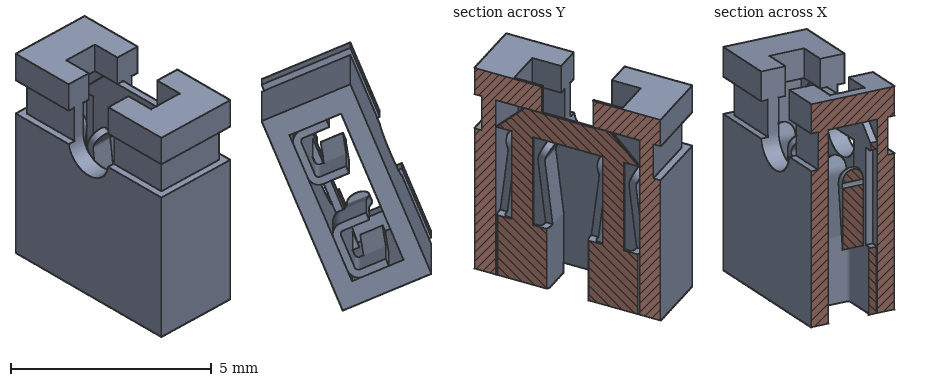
import cadquery as cq
import math

LENGTH = 5.2
DEPTH = 2.4
HEIGHT = 6.0
BODY_TOP = 4.2
FLANGE_BOTTOM = 5.2
NECK_INSET = 0.2
WINDOW_LENGTH = 3.025
WINDOW_DEPTH = 0.995
NOTCH_RADIUS = 0.71
NOTCH_BOTTOM = 3.6

SHEET = 0.2
PIN_SPACING = 2.545
CHANNEL_WIDTH = 1.465
CHANNEL_HEIGHT = 1.8
BEND_RADIUS = 0.1
STRIP_WIDTH = 0.6
BAR_BOTTOM = 4.41
ARM_WIDTH = 0.6
GRIP_GAP = 0.625
GRIP_HEIGHT = 3.66
GRIP_BEND_RADIUS = 0.2
TIP_LENGTH = 0.335
TIP_FLARE = 23.0

CAVITY_LENGTH = PIN_SPACING + CHANNEL_WIDTH
CAVITY_BACK = WINDOW_DEPTH / 2 + SHEET
CAVITY_DEPTH = 2 * CAVITY_BACK


def upright_block(length, depth, bottom, top):
    """Block centred on the Z axis, from height bottom to height top."""
    return cq.Workplane("XY").workplane(offset=bottom).rect(length, depth).extrude(top - bottom)


def housing_notch():
    """Round-bottomed notch through the front and back walls, open at the top."""
    centre_height = NOTCH_BOTTOM + NOTCH_RADIUS
    return (
        cq.Workplane("XZ")
        .moveTo(-NOTCH_RADIUS, HEIGHT)
        .lineTo(-NOTCH_RADIUS, centre_height)
        .threePointArc((0, NOTCH_BOTTOM), (NOTCH_RADIUS, centre_height))
        .lineTo(NOTCH_RADIUS, HEIGHT)
        .close()
        .extrude(DEPTH / 2, both=True)
    )


def make_housing():
    block = upright_block(LENGTH, DEPTH, 0, BODY_TOP)
    neck = upright_block(LENGTH - 2 * NECK_INSET, DEPTH - 2 * NECK_INSET, BODY_TOP, FLANGE_BOTTOM)
    flange = upright_block(LENGTH, DEPTH, FLANGE_BOTTOM, HEIGHT)
    cavity = upright_block(CAVITY_LENGTH, CAVITY_DEPTH, 0, FLANGE_BOTTOM)
    window = upright_block(WINDOW_LENGTH, WINDOW_DEPTH, FLANGE_BOTTOM, HEIGHT)
    return block.union(neck).union(flange).cut(cavity).cut(window).cut(housing_notch())


def contact_bar():
    """Plate across the top of the contact, with 45 degree sloping ends."""
    half_base = CAVITY_LENGTH / 2
    half_top = half_base - (FLANGE_BOTTOM - BAR_BOTTOM)
    return (
        cq.Workplane("XZ", origin=(0, CAVITY_BACK, 0))
        .polyline(
            [
                (-half_base, BAR_BOTTOM),
                (half_base, BAR_BOTTOM),
                (half_top, FLANGE_BOTTOM),
                (-half_top, FLANGE_BOTTOM),
            ]
        )
        .close()
        .extrude(SHEET)
    )


def pin_channel():
    """U-shaped channel, open to -Y, with rounded bends along its back."""
    wall_front = -ARM_WIDTH / 2
    depth = CAVITY_BACK - wall_front
    inner_width = CHANNEL_WIDTH - 2 * SHEET
    inner_depth = depth - SHEET
    outside = (
        cq.Workplane("XY")
        .center(0, wall_front + depth / 2)
        .rect(CHANNEL_WIDTH, depth)
        .extrude(CHANNEL_HEIGHT)
        .edges("|Z and >Y")
        .fillet(BEND_RADIUS + SHEET)
    )
    inside = (
        cq.Workplane("XY")
        .center(0, wall_front + inner_depth / 2)
        .rect(inner_width, inner_depth)
        .extrude(CHANNEL_HEIGHT)
        .edges("|Z and >Y")
        .fillet(BEND_RADIUS)
    )
    return outside.cut(inside)


def plate_strip():
    """Flat strip that hangs from the bar and carries a channel."""
    return (
        cq.Workplane("XY")
        .center(0, CAVITY_BACK - SHEET / 2)
        .rect(STRIP_WIDTH, SHEET)
        .extrude(BAR_BOTTOM)
    )


def arm_outline(grip, flare):
    """Round-ended outline of an arm, swept square to the sheet of its flared tip."""
    half_width = ARM_WIDTH / 2
    round_start = TIP_LENGTH - half_width
    tip_plane = cq.Plane(
        origin=(grip, 0, GRIP_HEIGHT),
        xDir=(0, 1, 0),
        normal=(math.cos(flare), 0, math.sin(flare)),
    )
    return (
        cq.Workplane(tip_plane)
        .moveTo(-half_width, -GRIP_HEIGHT)
        .lineTo(-half_width, round_start)
        .threePointArc((0, TIP_LENGTH), (half_width, round_start))
        .lineTo(half_width, -GRIP_HEIGHT)
        .close()
        .extrude(CHANNEL_WIDTH, both=True)
    )


def spring_arm():
    """Arm on the -X wall of a channel: leans in to the pin, then flares away at a rounded tip."""
    base = -CHANNEL_WIDTH / 2
    grip = -GRIP_GAP / 2 - SHEET
    flare = math.radians(TIP_FLARE)
    tip_x = grip - TIP_LENGTH * math.sin(flare)
    tip_z = GRIP_HEIGHT + TIP_LENGTH * math.cos(flare)
    arm = (
        cq.Workplane("XZ")
        .polyline(
            [
                (base, CHANNEL_HEIGHT),
                (grip, GRIP_HEIGHT),
                (tip_x, tip_z),
                (tip_x + SHEET * math.cos(flare), tip_z + SHEET * math.sin(flare)),
                (grip + SHEET, GRIP_HEIGHT),
                (base + SHEET, CHANNEL_HEIGHT),
            ]
        )
        .close()
        .extrude(ARM_WIDTH / 2, both=True)
    )
    away_from_pin = cq.selectors.NearestToPointSelector((grip, 0, GRIP_HEIGHT))
    toward_pin = cq.selectors.NearestToPointSelector((grip + SHEET, 0, GRIP_HEIGHT))
    arm = arm.edges(away_from_pin).fillet(GRIP_BEND_RADIUS)
    arm = arm.edges(toward_pin).fillet(GRIP_BEND_RADIUS + SHEET)
    return arm.intersect(arm_outline(grip, flare))


def pin_gripper():
    """Everything that grips one pin, centred on that pin."""
    arm = spring_arm()
    return pin_channel().union(plate_strip()).union(arm).union(arm.mirror("YZ"))


def make_contact():
    contact = contact_bar()
    gripper = pin_gripper()
    for side in (-1, 1):
        contact = contact.union(gripper.translate((side * PIN_SPACING / 2, 0, 0)))
    return contact


housing = make_housing()
contact = make_contact()

result = cq.Compound.makeCompound([housing.val(), contact.val()])